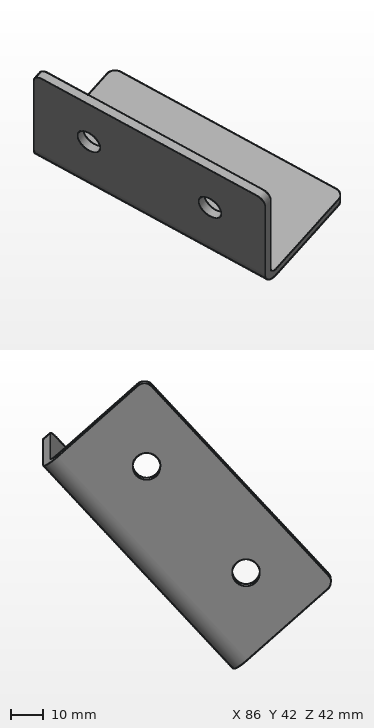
import cadquery as cq

length = 86.0
leg = 42.0
thickness = 3.0
bend_inner_radius = 3.0
corner_radius = 3.0
hole_diameter = 8.4
hole_spacing = 45.0
hole_height = 24.0

bend_outer_radius = bend_inner_radius + thickness
hole_xs = (-hole_spacing / 2, hole_spacing / 2)


def bent_sheet():
    """L-shaped sheet: one leg lies along +Y, the other stands along +Z."""
    return (
        cq.Workplane("YZ")
        .moveTo(leg, 0)
        .lineTo(bend_outer_radius, 0)
        .radiusArc((0, bend_outer_radius), bend_outer_radius)
        .lineTo(0, leg)
        .lineTo(thickness, leg)
        .lineTo(thickness, bend_outer_radius)
        .radiusArc((bend_outer_radius, thickness), -bend_inner_radius)
        .lineTo(leg, thickness)
        .close()
        .extrude(length / 2, both=True)
    )


def round_free_corners(body):
    """Round the two outer corners at the free end of each leg."""
    body = body.faces(">Z").edges("|Y").fillet(corner_radius)
    return body.faces(">Y").edges("|Z").fillet(corner_radius)


def hole_cutters():
    """Cylinders through both legs, two in each."""
    hole_radius = hole_diameter / 2
    along_y = cq.Vector(0, 1, 0)
    along_z = cq.Vector(0, 0, 1)
    cutters = []
    for x in hole_xs:
        cutters.append(cq.Solid.makeCylinder(hole_radius, thickness, cq.Vector(x, 0, hole_height), along_y))
        cutters.append(cq.Solid.makeCylinder(hole_radius, thickness, cq.Vector(x, hole_height, 0), along_z))
    return cutters


result = round_free_corners(bent_sheet())
for cutter in hole_cutters():
    result = result.cut(cq.Workplane(obj=cutter))